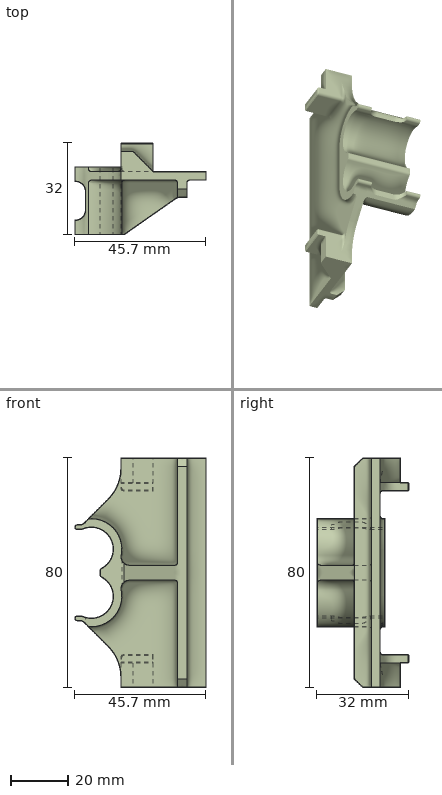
import cadquery as cq
import math


width = 45.74
half_length = 40.0
plate_thickness = 3.0
plate_left = 16.0
blend_radius = 15.0
edge_offset = 14.1
fillet_radius = 1.0

bore_radius = 7.6
boss_radius = 10.6
bore_x = 5.75
bore_z = 8.25
holder_front = -19.0
holder_back = 4.6

lip_outer_z = 16.75
lip_root_radius = 2.0
lip_inner_x = 1.7
lip_inner_z = 15.1
lip_tip_radius = (lip_outer_z - lip_inner_z) / 2
ridge_x = 8.75
ridge_radius = 1.0
window_depth = 3.66
window_half_width = 6.75
window_radius = 3.5

rib_half_thickness = 2.6
rib_corner_radius = 3.0
rib_slope_start_x = 17.2
rib_slope_end_x = 35.0
rail_left = 35.8
rail_right = 39.1
rail_front = -6.0
rail_flat_x = 36.75
rail_end_chamfer = 3.0

block_right = 27.3
block_height = 10.0
block_inner_z = 28.6
block_edge_radius = 1.0
hook_top = 13.0
hook_thickness = 2.8
hook_chamfer = 0.3

rough_left = bore_x - boss_radius - 3 * fillet_radius
slope_iterations = 20
select_margin = 0.01
clearance = 1.0


def xz_plane(y):
    """XZ sketch plane at the given depth; extrusions from it run toward -Y."""
    return cq.Workplane("XZ", origin=(0, y, 0))


def polar(centre, radius, angle):
    """Point on a circle, with the angle in radians."""
    return (centre[0] + radius * math.cos(angle), centre[1] + radius * math.sin(angle))


def spanning_box(x0, x1, y0, y1, z0, z1):
    return cq.Workplane("XY").box(x1 - x0, y1 - y0, z1 - z0, centered=False).translate((x0, y0, z0))


def both_ends(body):
    return body.union(body.mirror("XY"))


def through_cutter(sketch):
    """Extrude an XZ outline, drawn beyond the back of the part, through its full depth."""
    return sketch.extrude(hook_top - holder_front + 2 * clearance)


def through_sketch():
    return xz_plane(hook_top + clearance)


def front_envelope():
    """XY outline of the front: full depth at the holder, sloping through an arc onto the rail."""
    run = rib_slope_end_x - rib_slope_start_x
    arc_run = rail_flat_x - rib_slope_end_x
    drop = rail_front - holder_front
    slope = math.atan2(drop, run + arc_run / 2)
    for _ in range(slope_iterations):
        slope = math.atan2(drop - arc_run * math.tan(slope / 2), run)
    radius = arc_run / math.sin(slope)
    slope_end_y = rail_front - radius * (1 - math.cos(slope))
    middle = (rail_flat_x - radius * math.sin(slope / 2),
              rail_front - radius * (1 - math.cos(slope / 2)))
    return (cq.Workplane("XY", origin=(0, 0, -half_length))
            .moveTo(rough_left, plate_thickness)
            .lineTo(rough_left, holder_front)
            .lineTo(rib_slope_start_x, holder_front)
            .lineTo(rib_slope_end_x, slope_end_y)
            .threePointArc(middle, (rail_flat_x, rail_front))
            .lineTo(width, rail_front)
            .lineTo(width, plate_thickness)
            .close().extrude(2 * half_length))


def front_holder():
    """Two overlapping cylinders joined to a straight rib, at full depth."""
    depth = plate_thickness - holder_front
    body = (xz_plane(plate_thickness)
            .pushPoints([(bore_x, bore_z), (bore_x, -bore_z)]).circle(boss_radius).extrude(depth))
    infill = spanning_box(bore_x - boss_radius, bore_x, holder_front, plate_thickness, -bore_z, bore_z)
    rib = spanning_box(bore_x, rail_right, holder_front, plate_thickness,
                       -rib_half_thickness, rib_half_thickness)
    body = body.union(infill).union(rib)
    corner_x = bore_x + math.sqrt(boss_radius**2 - (bore_z - rib_half_thickness)**2)
    corner = cq.selectors.BoxSelector((corner_x - select_margin, holder_front, -bore_z),
                                      (corner_x + select_margin, plate_thickness, bore_z))
    return body.edges("|Y").edges(corner).fillet(rib_corner_radius)


def fillet_front(body):
    """Round the holder, rib and rail into the plate front, and the rib into the rail."""
    foot = cq.selectors.BoxSelector(
        (rough_left + select_margin, -select_margin, -half_length + select_margin),
        (width - select_margin, select_margin, half_length - select_margin))
    rib_end = cq.selectors.BoxSelector(
        (rail_left - select_margin, holder_front, -rib_half_thickness - select_margin),
        (rail_left + select_margin, 0, rib_half_thickness + select_margin))
    rounded = body.edges("|Y").edges(rib_end).add(body.edges(foot))
    return body.newObject(rounded.vals()).fillet(fillet_radius)


def chamfer_rail(body):
    """Chamfer both ends of the rail along its flat front and curved shoulder."""
    front_ends = cq.selectors.BoxSelector(
        (rail_left + select_margin, holder_front, -half_length - select_margin),
        (rail_right - select_margin, rail_front + select_margin, half_length + select_margin))
    return body.faces("|Z").edges(front_ends).chamfer(rail_end_chamfer)


def end_block():
    """Block with a 45 degree side and a hook across its inner end, at +Z."""
    base = (cq.Workplane("XY", origin=(0, 0, block_inner_z))
            .moveTo(plate_left, 0)
            .lineTo(plate_left, block_height)
            .lineTo(block_right - (block_height - plate_thickness), block_height)
            .lineTo(block_right, plate_thickness)
            .lineTo(block_right, 0)
            .close().extrude(half_length - block_inner_z))
    hook = spanning_box(plate_left, block_right, 0, hook_top,
                        block_inner_z, block_inner_z + hook_thickness)
    block = base.union(hook).edges("|Y and <X and <Z").fillet(block_edge_radius)
    return block.faces(">Y").chamfer(hook_chamfer)


def back_holder():
    """Rounded pad continuing the holder behind the plate."""
    return (xz_plane(holder_back).center(bore_x, 0)
            .slot2D(2 * (bore_z + boss_radius), 2 * boss_radius, 90).extrude(holder_back))


def fillet_back(body):
    """Round the pad and the left and inner sides of the blocks into the plate back."""
    def foot(x0, x1, z0, z1):
        return cq.selectors.BoxSelector((x0, plate_thickness - select_margin, z0),
                                        (x1, plate_thickness + select_margin, z1))

    pad_reach = bore_z + boss_radius + select_margin
    pad = foot(rough_left + select_margin, block_right, -pad_reach, pad_reach)
    round_end = plate_left + block_edge_radius
    left = foot(plate_left - select_margin, round_end, block_inner_z, half_length)
    left_mirror = foot(plate_left - select_margin, round_end, -half_length, -block_inner_z)
    inner_start = block_inner_z - select_margin
    inner_end = block_inner_z + select_margin
    inner = foot(round_end, block_right, inner_start, inner_end)
    inner_mirror = foot(round_end, block_right, -inner_end, -inner_start)
    return body.edges(pad + left + left_mirror + inner + inner_mirror).fillet(fillet_radius)


def outline_cutter():
    """Everything outside the sloping edge and the outer side of the lip, at +Z."""
    eighth = math.radians(45)
    tangent = blend_radius * math.tan(eighth / 2)
    blend_centre = (plate_left - blend_radius, plate_left + edge_offset + tangent)
    arc_start = (plate_left, blend_centre[1])
    arc_middle = polar(blend_centre, blend_radius, -eighth / 2)
    arc_end = polar(blend_centre, blend_radius, -eighth)
    root_x = lip_outer_z - edge_offset
    root_start = (root_x - lip_root_radius * math.tan(eighth / 2), lip_outer_z)
    root_centre = (root_start[0], lip_outer_z + lip_root_radius)
    root_middle = polar(root_centre, lip_root_radius, -1.5 * eighth)
    root_end = polar(root_centre, lip_root_radius, -eighth)
    tip_middle = polar((lip_tip_radius, lip_outer_z - lip_tip_radius), lip_tip_radius, math.radians(135))
    return through_cutter(
        through_sketch().moveTo(plate_left, half_length + clearance)
        .lineTo(*arc_start)
        .threePointArc(arc_middle, arc_end)
        .lineTo(*root_end)
        .threePointArc(root_middle, root_start)
        .lineTo(lip_tip_radius, lip_outer_z)
        .threePointArc(tip_middle, (0, lip_outer_z - lip_tip_radius))
        .lineTo(rough_left - clearance, lip_outer_z - lip_tip_radius)
        .lineTo(rough_left - clearance, half_length + clearance).close())


def bore_cutter():
    """Bore opening between the rounded ridge and the bulge of the lip, at +Z."""
    bore_centre = (bore_x, bore_z)
    ridge_reach = ridge_x + ridge_radius - bore_x
    ridge_angle = -math.acos(ridge_reach / (bore_radius + ridge_radius))
    ridge_centre = polar(bore_centre, bore_radius + ridge_radius, ridge_angle)
    ridge_middle = polar(ridge_centre, ridge_radius, math.pi + ridge_angle / 2)
    lip_run = bore_x - lip_inner_x
    lip_rise = lip_inner_z - bore_z
    lip_radius = (lip_run**2 + lip_rise**2 - bore_radius**2) / (2 * (bore_radius - lip_rise))
    lip_angle = math.atan2(lip_rise + lip_radius, -lip_run)
    lip_centre = (lip_inner_x, lip_inner_z + lip_radius)
    lip_middle = polar(lip_centre, lip_radius, (lip_angle - 1.5 * math.pi) / 2)
    tip_middle = polar((lip_tip_radius, lip_inner_z + lip_tip_radius), lip_tip_radius, math.radians(225))
    return through_cutter(
        through_sketch().moveTo(rough_left - clearance, 0)
        .lineTo(ridge_x, 0)
        .lineTo(ridge_x, ridge_centre[1])
        .threePointArc(ridge_middle, polar(bore_centre, bore_radius, ridge_angle))
        .threePointArc(polar(bore_centre, bore_radius, (ridge_angle + lip_angle) / 2),
                       polar(bore_centre, bore_radius, lip_angle))
        .threePointArc(lip_middle, (lip_inner_x, lip_inner_z))
        .lineTo(lip_tip_radius, lip_inner_z)
        .threePointArc(tip_middle, (0, lip_inner_z + lip_tip_radius))
        .lineTo(rough_left - clearance, lip_inner_z + lip_tip_radius).close())


def lip_window():
    """Round-cornered gap that splits each lip into a front and a back clip."""
    middle = (holder_front + holder_back) / 2
    box = spanning_box(-window_radius, window_depth, middle - window_half_width,
                       middle + window_half_width, -half_length, half_length)
    return box.edges("|Z and >X").fillet(window_radius)


plate = spanning_box(rough_left, width, 0, plate_thickness, -half_length, half_length)
rail = spanning_box(rail_left, rail_right, holder_front, plate_thickness, -half_length, half_length)
body = fillet_front(plate.union(front_holder()).union(rail))
body = chamfer_rail(body.intersect(front_envelope()))
body = body.union(both_ends(end_block())).union(back_holder())
body = fillet_back(body)
body = body.cut(both_ends(outline_cutter())).cut(both_ends(bore_cutter())).cut(lip_window())
trim = spanning_box(rough_left - clearance, 0, holder_front, hook_top, -half_length, half_length)
result = body.cut(trim)